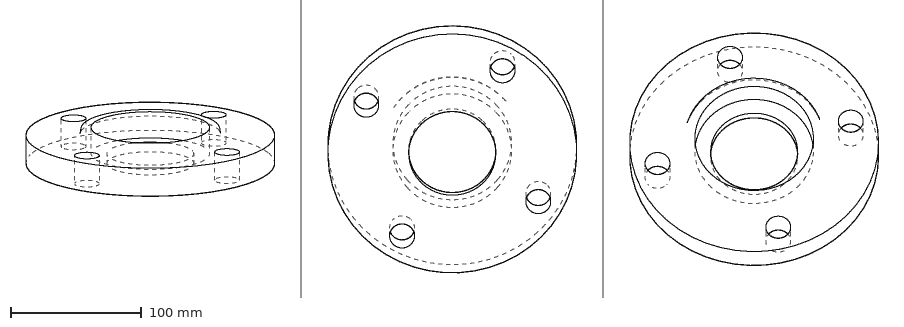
import cadquery as cq
import math

FLANGE_DIAMETER = 190.5
FLANGE_THICKNESS = 22.35

OVERALL_HEIGHT = 28.45
HUB_BASE_DIAMETER = 108.0
HUB_TAPER_ANGLE = 10.0
HUB_FILLET_RADIUS = 1.5

SOCKET_DIAMETER = 90.7
SOCKET_DEPTH = 20.8
BORE_DIAMETER = 66.6

BOLT_HOLE_COUNT = 4
BOLT_HOLE_DIAMETER = 19.05
BOLT_CIRCLE_DIAMETER = 152.4


def make_flange_blank():
    """Solid plate and tapered hub, revolved from half of their section."""
    flange_radius = FLANGE_DIAMETER / 2
    hub_base_radius = HUB_BASE_DIAMETER / 2
    hub_height = OVERALL_HEIGHT - FLANGE_THICKNESS
    hub_inset = hub_height * math.tan(math.radians(HUB_TAPER_ANGLE))
    section = (
        cq.Workplane("XZ")
        .moveTo(0, 0)
        .lineTo(flange_radius, 0)
        .lineTo(flange_radius, FLANGE_THICKNESS)
        .lineTo(hub_base_radius, FLANGE_THICKNESS)
        .lineTo(hub_base_radius - hub_inset, OVERALL_HEIGHT)
        .lineTo(0, OVERALL_HEIGHT)
        .close()
    )
    return section.revolve(360, (0, 0, 0), (0, 1, 0))


def round_hub(body):
    """Fillet the hub's root and its top rim."""
    hub_reach = HUB_BASE_DIAMETER / 2 + HUB_FILLET_RADIUS
    hub_zone = cq.selectors.BoxSelector(
        (-hub_reach, -hub_reach, FLANGE_THICKNESS - HUB_FILLET_RADIUS),
        (hub_reach, hub_reach, OVERALL_HEIGHT + HUB_FILLET_RADIUS),
        boundingbox=True,
    )
    return body.edges("%CIRCLE").edges(hub_zone).fillet(HUB_FILLET_RADIUS)


def cut_stepped_bore(body):
    """Cut the socket from the hub's top face and the bore through its floor."""
    return (
        body.faces(">Z")
        .workplane(origin=(0, 0, 0))
        .cboreHole(BORE_DIAMETER, SOCKET_DIAMETER, SOCKET_DEPTH)
    )


def cut_bolt_holes(body):
    """Drill evenly spaced through holes, the first one on the +X axis."""
    holes = (
        cq.Workplane("XY")
        .polarArray(BOLT_CIRCLE_DIAMETER / 2, 0, 360, BOLT_HOLE_COUNT)
        .circle(BOLT_HOLE_DIAMETER / 2)
        .extrude(FLANGE_THICKNESS)
    )
    return body.cut(holes)


flange = make_flange_blank()
flange = round_hub(flange)
flange = cut_stepped_bore(flange)
result = cut_bolt_holes(flange)